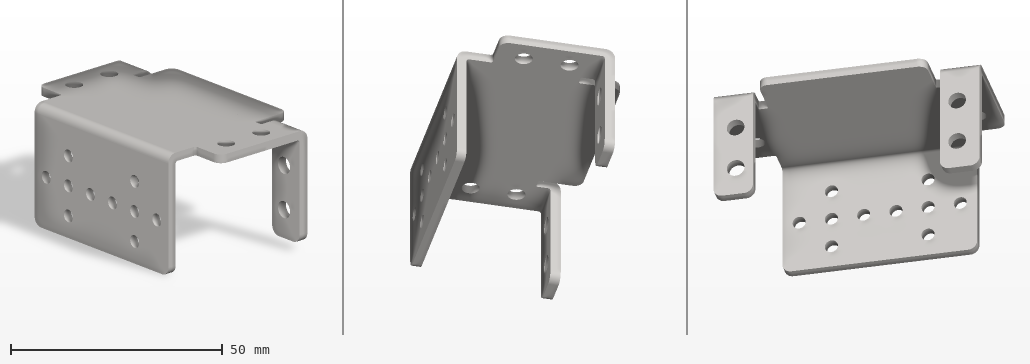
import cadquery as cq

width = 64.65
depth = 40.8
height = 30.65

plate_thickness = 2.2
front_thickness = 2.3
rear_thickness = 2.5
front_bend_radius = 2.2
rear_bend_radius = 2.3
inner_bend_radius = 0.6
corner_radius = 2.2
relief_radius = 0.6
slot_radius = 0.4

front_width = 47.3
tongue_width = 40.7
ear_inner_x = 22.7
ear_front_y = 8.65
slot_bottom_y = 30.3
rear_face_y = 36.35
rear_flange_drop = 28.4

ear_hole_diameter = 4.25
ear_hole_x = 26.9
ear_hole_y_positions = (15.45, 26.6)
rear_hole_drops = (10.1, 21.2)
small_hole_diameter = 3.2
small_hole_pitch = 7.8
row_hole_count = 6
hole_row_drop = 17.5
outer_row_offset = 7.55

plate_bottom_z = height - plate_thickness
rear_inner_y = rear_face_y - rear_thickness
rear_bottom_z = height - rear_flange_drop
ear_width = width / 2 - ear_inner_x
ear_center_x = (width / 2 + ear_inner_x) / 2


def box(x_size, y_min, y_max, z_min, z_max, x_center=0):
    """Block centred on x_center, spanning the given Y and Z limits."""
    size = (x_size, y_max - y_min, z_max - z_min)
    return cq.Workplane("XY").box(*size, centered=(True, False, False)).translate((x_center, y_min, z_min))


def make_bracket_profile():
    """Bent U section, full width, with rounded bends inside and out."""
    outer = box(width, 0, rear_face_y, 0, height)
    outer = outer.edges("|X and >Z and <Y").fillet(front_bend_radius)
    outer = outer.edges("|X and >Z and >Y").fillet(rear_bend_radius)
    cavity = box(2 * width, front_thickness, rear_inner_y, -height, plate_bottom_z)
    cavity = cavity.edges("|X and >Z").fillet(inner_bend_radius)
    return outer.cut(cavity)


def make_plan_outline():
    """Plan of the bracket without its tongue: narrow front, ears and slots."""
    plan = box(front_width, 0, slot_bottom_y, 0, height)
    body = box(width, ear_front_y, slot_bottom_y, 0, height)
    body = body.edges("|Z and <Y").fillet(corner_radius)
    plan = plan.union(body)
    for side in (-1, 1):
        corner = (side * front_width / 2, ear_front_y, height / 2)
        plan = plan.edges(cq.selectors.NearestToPointSelector(corner)).fillet(relief_radius)
        ear = box(ear_width, slot_bottom_y, rear_face_y, 0, height, side * ear_center_x)
        plan = plan.union(ear)
    return plan


def make_tongue():
    """Rear tongue of the top plate, with rounded free corners."""
    tongue = box(tongue_width, slot_bottom_y, depth, plate_bottom_z, height)
    return tongue.edges("|Z and >Y").fillet(corner_radius)


def round_slots(part):
    """Round the bottom corners of the slots beside the tongue."""
    for side in (-1, 1):
        for x in (tongue_width / 2, ear_inner_x):
            corner = (side * x, slot_bottom_y, plate_bottom_z + plate_thickness / 2)
            part = part.edges(cq.selectors.NearestToPointSelector(corner)).fillet(slot_radius)
    return part


def trim_flanges(part):
    """Shorten the rear flanges and round the lower corners of all flanges."""
    part = part.cut(box(width, rear_inner_y, rear_face_y, 0, rear_bottom_z))
    corners = [(side * front_width / 2, front_thickness / 2, 0) for side in (-1, 1)]
    for side in (-1, 1):
        for x in (ear_inner_x, width / 2):
            corners.append((side * x, rear_face_y - rear_thickness / 2, rear_bottom_z))
    for corner in corners:
        part = part.edges(cq.selectors.NearestToPointSelector(corner)).fillet(corner_radius)
    return part


def holes_along_y(points, diameter, y_start, y_end):
    """Pins parallel to Y at the given (x, z) points."""
    pins = cq.Workplane("XZ", origin=(0, y_start, 0)).pushPoints(points)
    return pins.circle(diameter / 2).extrude(y_start - y_end)


def drill(part):
    """Drill the ears, the rear flanges and the front hole pattern."""
    ear_points = [(side * ear_hole_x, y) for side in (-1, 1) for y in ear_hole_y_positions]
    ear_pins = cq.Workplane("XY", origin=(0, 0, plate_bottom_z)).pushPoints(ear_points)
    ear_pins = ear_pins.circle(ear_hole_diameter / 2).extrude(plate_thickness)

    rear_points = [(side * ear_hole_x, height - drop) for side in (-1, 1) for drop in rear_hole_drops]
    rear_pins = holes_along_y(rear_points, ear_hole_diameter, rear_inner_y, rear_face_y)

    row_z = height - hole_row_drop
    first_x = -small_hole_pitch * (row_hole_count - 1) / 2
    front_points = [(first_x + i * small_hole_pitch, row_z) for i in range(row_hole_count)]
    for side in (-1, 1):
        x = side * (first_x + small_hole_pitch)
        front_points += [(x, row_z + offset) for offset in (-outer_row_offset, outer_row_offset)]
    front_pins = holes_along_y(front_points, small_hole_diameter, 0, front_thickness)
    return part.cut(ear_pins).cut(rear_pins).cut(front_pins)


bracket = make_bracket_profile().intersect(make_plan_outline()).union(make_tongue())
result = drill(trim_flanges(round_slots(bracket)))